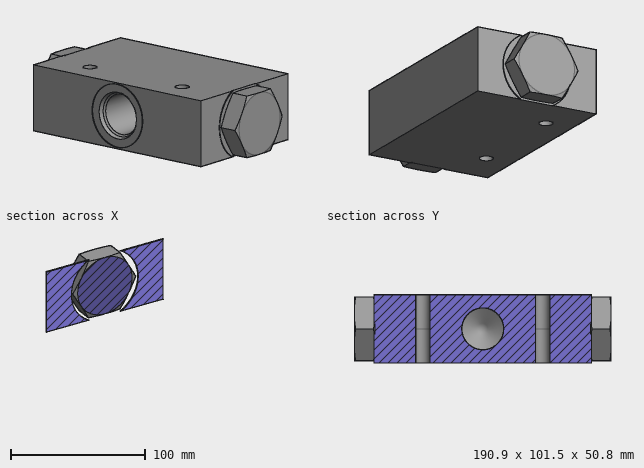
import cadquery as cq
import math

BLOCK_LENGTH = 161.9
BLOCK_WIDTH = 101.5
BLOCK_HEIGHT = 50.8

MOUNT_HOLE_DIAMETER = 10.5
MOUNT_HOLE_SPACING = 89.0
MOUNT_HOLE_EDGE_DISTANCE = 22.1

PORT_SPOTFACE_DIAMETER = 48.5
PORT_SPOTFACE_DEPTH = 0.8
PORT_MOUTH_DIAMETER = 35.9
PORT_SEAT_DIAMETER = 33.5
PORT_SEAT_DEPTH = 3.2
PORT_BORE_DIAMETER = 31.0
PORT_BORE_DEPTH = 38.2
DRILL_POINT_ANGLE = 118.0

OVERALL_LENGTH = 190.9
PLUG_ACROSS_FLATS = 47.5
PLUG_BEVEL_ANGLE = 15.0
PLUG_RECESS_DIAMETER = 57.6
PLUG_RECESS_DEPTH = 0.8

PLUG_SEAT_X = BLOCK_LENGTH / 2 - PLUG_RECESS_DEPTH
PLUG_LENGTH = OVERALL_LENGTH / 2 - PLUG_SEAT_X
PLUG_ACROSS_CORNERS = PLUG_ACROSS_FLATS / math.cos(math.pi / 6)
END_SIDES = (-1, 1)


def make_port_cutter():
    """Port profile revolved about the Y axis: spotface, tapered seat, chamfer, bore, drill point."""
    side_y = -BLOCK_WIDTH / 2
    spotface_y = side_y + PORT_SPOTFACE_DEPTH
    seat_end_y = spotface_y + PORT_SEAT_DEPTH
    chamfer_end_y = seat_end_y + (PORT_SEAT_DIAMETER - PORT_BORE_DIAMETER) / 2
    bore_end_y = side_y + PORT_BORE_DEPTH
    tip_y = bore_end_y + PORT_BORE_DIAMETER / 2 / math.tan(math.radians(DRILL_POINT_ANGLE / 2))
    return (
        cq.Workplane("XY")
        .moveTo(0, side_y)
        .lineTo(PORT_SPOTFACE_DIAMETER / 2, side_y)
        .lineTo(PORT_SPOTFACE_DIAMETER / 2, spotface_y)
        .lineTo(PORT_MOUTH_DIAMETER / 2, spotface_y)
        .lineTo(PORT_SEAT_DIAMETER / 2, seat_end_y)
        .lineTo(PORT_BORE_DIAMETER / 2, chamfer_end_y)
        .lineTo(PORT_BORE_DIAMETER / 2, bore_end_y)
        .lineTo(0, tip_y)
        .close()
        .revolve(360, (0, 0, 0), (0, 1, 0))
    )


def make_mount_hole_cutters():
    hole_y = MOUNT_HOLE_EDGE_DISTANCE - BLOCK_WIDTH / 2
    return (
        cq.Workplane("XY", origin=(0, hole_y, 0))
        .rarray(MOUNT_HOLE_SPACING, 2, 2, 1)
        .circle(MOUNT_HOLE_DIAMETER / 2)
        .extrude(BLOCK_HEIGHT, both=True)
    )


def plug_seat_plane(side):
    """Plane at the bottom of the recess in one end, facing outwards, with its local X along Y."""
    return cq.Plane(origin=(side * PLUG_SEAT_X, 0, 0), xDir=(0, 1, 0), normal=(side, 0, 0))


def make_plug_recess_cutter(side):
    return cq.Workplane(plug_seat_plane(side)).circle(PLUG_RECESS_DIAMETER / 2).extrude(PLUG_RECESS_DEPTH)


def make_block():
    block = cq.Workplane("XY").box(BLOCK_LENGTH, BLOCK_WIDTH, BLOCK_HEIGHT)
    block = block.cut(make_mount_hole_cutters()).cut(make_port_cutter())
    for side in END_SIDES:
        block = block.cut(make_plug_recess_cutter(side))
    return block


def make_plug(side):
    """Hexagonal head with the corners of both ends bevelled by cones that just touch the flats."""
    bevel_width = (PLUG_ACROSS_CORNERS - PLUG_ACROSS_FLATS) / 2
    bevel_length = bevel_width * math.tan(math.radians(PLUG_BEVEL_ANGLE))
    plane = plug_seat_plane(side)
    head = cq.Workplane(plane).polygon(6, PLUG_ACROSS_CORNERS).extrude(PLUG_LENGTH)
    envelope = (
        cq.Workplane(plane)
        .circle(PLUG_ACROSS_CORNERS / 2)
        .extrude(PLUG_LENGTH)
        .faces("<X or >X")
        .chamfer(bevel_length, bevel_width)
    )
    return head.intersect(envelope)


block = make_block()
plugs = [make_plug(side) for side in END_SIDES]

result = cq.Compound.makeCompound([block.val(), *[plug.val() for plug in plugs]])